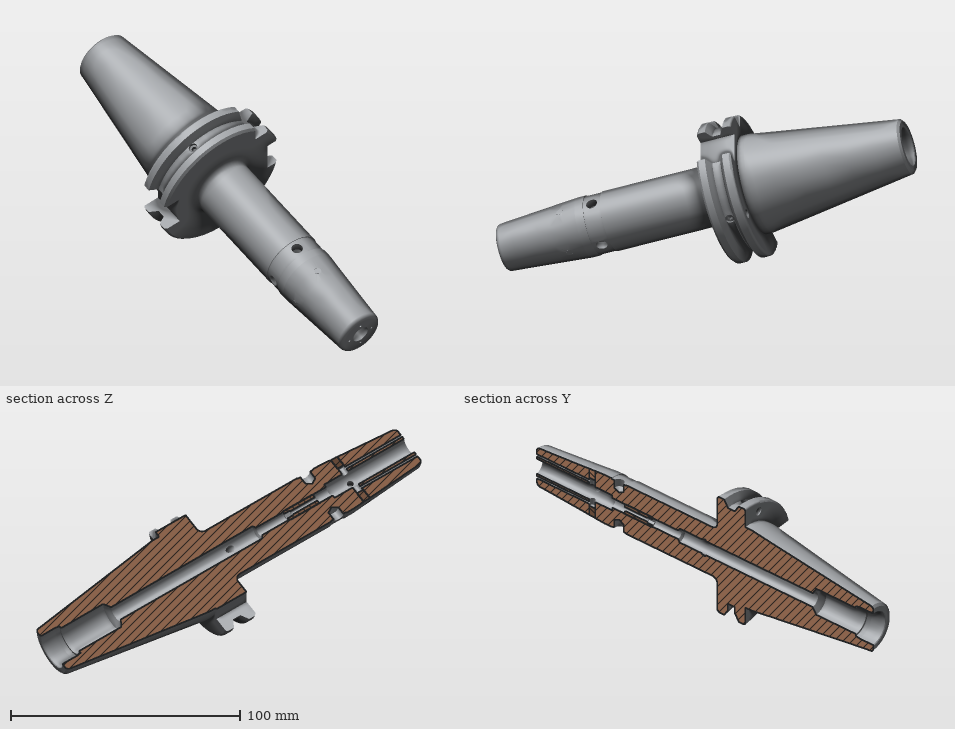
import cadquery as cq
import math


GAUGE_RADIUS = 44.45 / 2
TAPER_LENGTH = 68.4
TAPER_SLOPE = 7 / 48
TAPER_END_CHAMFER = 1.0

FLANGE_START = 3.2
FLANGE_END = 19.1
FLANGE_RADIUS = 63.55 / 2
FLANGE_REAR_FILLET = 1.0
FLANGE_FRONT_CHAMFER = 1.0
GROOVE_CENTER = 11.05
GROOVE_FLOOR_RADIUS = 56.25 / 2
GROOVE_FLOOR_WIDTH = 3.75
GROOVE_FLANK_ANGLE = 30.0
GROOVE_FLAT_ANGLE = 255.4
GROOVE_FLAT_DISTANCE = 23.9
GROOVE_FLAT_START = 9.5
GROOVE_FLAT_END = 12.9

SLOT_WIDTH = 16.1
SLOT_FLOOR_PLUS_Y = 25.0
SLOT_FLOOR_MINUS_Y = 22.8
NOTCH_OFFSET = 18.5

NOSE_END = 120.0
NOSE_TIP_RADIUS = 10.5
NOSE_ANGLE = 4.5
NOSE_TIP_FILLET = 2.0
SHANK_RADIUS = 13.5
SHANK_FILLET = 2.8
RELIEF_START = 70.0
RELIEF_END = 78.0
RELIEF_DEPTH = 0.35

MOUTH_RADIUS = 8.85
MOUTH_CHAMFER = 0.35
MOUTH_DEPTH = 7.8
MOUTH_FLOOR_RADIUS = 8.15
MOUTH_FLOOR_DEPTH = 9.8
THREAD_RADIUS = 7.0
THREAD_DEPTH = 32.0
DRILL_POINT_ANGLE = 118.0
FEED_RADIUS = 3.7
FEED_END = 40.0
NECK_RADIUS = 2.25
STOP_SEAT = 55.0
STOP_RADIUS = 2.5
TOOL_BORE_START = 78.0
TOOL_BORE_RADIUS = 4.0

BALANCE_HOLE_X = 74.0
BALANCE_HOLE_RADIUS = 2.5
BALANCE_HOLE_FLOOR = 9.0

PIN_X = 89.0
PIN_RADIUS = 1.5
PIN_INNER_END = 7.5
JET_PITCH_RADIUS = 6.0
JET_RADIUS = 0.5

PORT_ANGLES = (109.7, 289.7)
PORT_PITCH_RADIUS = 27.0
PORT_RADIUS = 1.5
PORT_RECESS_RADIUS = 2.0
PORT_RECESS_DEPTH = 0.5
PORT_LEAN = 45.0
SCREW_RADIUS = 2.0
SCREW_SINK = 1.5
SCREW_INNER_END = 17.5
SCREW_HEX = 2.0
SCREW_HEX_DEPTH = 2.0

STOP_SCREW_LENGTH = 16.0
STOP_SCREW_HEX = 2.5
STOP_SCREW_HEX_DEPTH = 3.0
STOP_SCREW_BORE_RADIUS = 0.9
STOP_SCREW_CHAMFER = 0.5

QUARTER_ANGLES = (0, 90, 180, 270)

TAPER_START = -TAPER_LENGTH
TAPER_END_RADIUS = GAUGE_RADIUS - TAPER_LENGTH * TAPER_SLOPE
NOSE_SLOPE = math.tan(math.radians(NOSE_ANGLE))
NOSE_START = NOSE_END - (SHANK_RADIUS - NOSE_TIP_RADIUS) / NOSE_SLOPE
PIN_OUTER_END = NOSE_TIP_RADIUS + (NOSE_END - PIN_X) * NOSE_SLOPE
POINT_SLOPE = 1 / math.tan(math.radians(DRILL_POINT_ANGLE / 2))
ORIGIN = (0, 0, 0)
X_AXIS = (1, 0, 0)


def revolved(profile):
    """Turn a closed (x, radius) outline about the X axis."""
    return profile.close().revolve(360, ORIGIN, X_AXIS)


def rod(start, direction, radius, length):
    """A solid cylinder from a point along a direction."""
    return cq.Workplane(cq.Solid.makeCylinder(radius, length, cq.Vector(*start), cq.Vector(*direction)))


def radial_rod(x, inner, outer, radius):
    """A cylinder along +Y between two distances from the axis."""
    return rod((x, inner, 0), (0, 1, 0), radius, outer - inner)


def turned(body, angle):
    """Rotate a body about the X axis, from +Y toward +Z."""
    return body.rotate(ORIGIN, X_AXIS, angle)


def holder_blank():
    chamfer_radius = TAPER_END_RADIUS - TAPER_END_CHAMFER
    profile = (
        cq.Workplane("XY")
        .moveTo(TAPER_START, 0)
        .lineTo(TAPER_START, chamfer_radius)
        .lineTo(TAPER_START + TAPER_END_CHAMFER, TAPER_END_RADIUS + TAPER_END_CHAMFER * TAPER_SLOPE)
        .lineTo(0, GAUGE_RADIUS)
        .lineTo(FLANGE_START, GAUGE_RADIUS)
        .lineTo(FLANGE_START, FLANGE_RADIUS - FLANGE_REAR_FILLET)
        .radiusArc((FLANGE_START + FLANGE_REAR_FILLET, FLANGE_RADIUS), FLANGE_REAR_FILLET)
        .lineTo(FLANGE_END - FLANGE_FRONT_CHAMFER, FLANGE_RADIUS)
        .lineTo(FLANGE_END, FLANGE_RADIUS - FLANGE_FRONT_CHAMFER)
        .lineTo(FLANGE_END, SHANK_RADIUS + SHANK_FILLET)
        .radiusArc((FLANGE_END + SHANK_FILLET, SHANK_RADIUS), -SHANK_FILLET)
        .lineTo(RELIEF_START, SHANK_RADIUS)
        .lineTo(RELIEF_START, SHANK_RADIUS - RELIEF_DEPTH)
        .lineTo(RELIEF_END, SHANK_RADIUS - RELIEF_DEPTH)
        .lineTo(RELIEF_END, SHANK_RADIUS)
        .lineTo(NOSE_START, SHANK_RADIUS)
        .lineTo(NOSE_END, NOSE_TIP_RADIUS)
        .lineTo(NOSE_END, 0)
    )
    return revolved(profile).faces(">X").edges().fillet(NOSE_TIP_FILLET)


def v_groove():
    depth = FLANGE_RADIUS - GROOVE_FLOOR_RADIUS
    half_floor = GROOVE_FLOOR_WIDTH / 2
    half_mouth = half_floor + depth * math.tan(math.radians(GROOVE_FLANK_ANGLE))
    profile = (
        cq.Workplane("XY")
        .moveTo(GROOVE_CENTER - half_floor, GROOVE_FLOOR_RADIUS)
        .lineTo(GROOVE_CENTER + half_floor, GROOVE_FLOOR_RADIUS)
        .lineTo(GROOVE_CENTER + half_mouth, FLANGE_RADIUS)
        .lineTo(GROOVE_CENTER - half_mouth, FLANGE_RADIUS)
    )
    return revolved(profile)


def groove_flat():
    """Clearance that leaves a flat across the groove floor."""
    depth = FLANGE_RADIUS - GROOVE_FLAT_DISTANCE
    width = GROOVE_FLAT_END - GROOVE_FLAT_START
    block = cq.Workplane("XY").box(width, depth, 2 * FLANGE_RADIUS, centered=(False, False, True))
    block = block.translate((GROOVE_FLAT_START, GROOVE_FLAT_DISTANCE, 0))
    return turned(block, GROOVE_FLAT_ANGLE)


def flange_cutter(y_start, y_end, z_start, z_end):
    size = (FLANGE_END - FLANGE_START, y_end - y_start, z_end - z_start)
    return cq.Workplane("XY").box(*size, centered=False).translate((FLANGE_START, y_start, z_start))


def flange_cuts():
    half_slot = SLOT_WIDTH / 2
    plus_slot = flange_cutter(SLOT_FLOOR_PLUS_Y, FLANGE_RADIUS, -half_slot, half_slot)
    minus_slot = flange_cutter(-FLANGE_RADIUS, -SLOT_FLOOR_MINUS_Y, -half_slot, half_slot)
    notch = flange_cutter(NOTCH_OFFSET, FLANGE_RADIUS, NOTCH_OFFSET, FLANGE_RADIUS)
    return [plus_slot, minus_slot, notch]


def center_bore():
    bore_radius = MOUTH_RADIUS - MOUTH_CHAMFER
    thread_end = TAPER_START + THREAD_DEPTH
    profile = (
        cq.Workplane("XY")
        .moveTo(TAPER_START, 0)
        .lineTo(TAPER_START, MOUTH_RADIUS)
        .lineTo(TAPER_START + MOUTH_CHAMFER, bore_radius)
        .lineTo(TAPER_START + MOUTH_DEPTH, bore_radius)
        .lineTo(TAPER_START + MOUTH_FLOOR_DEPTH, MOUTH_FLOOR_RADIUS)
        .lineTo(TAPER_START + MOUTH_FLOOR_DEPTH, THREAD_RADIUS)
        .lineTo(thread_end, THREAD_RADIUS)
        .lineTo(thread_end + (THREAD_RADIUS - FEED_RADIUS) * POINT_SLOPE, FEED_RADIUS)
        .lineTo(FEED_END, FEED_RADIUS)
        .lineTo(FEED_END + (FEED_RADIUS - NECK_RADIUS) * POINT_SLOPE, NECK_RADIUS)
        .lineTo(STOP_SEAT, NECK_RADIUS)
        .lineTo(STOP_SEAT, STOP_RADIUS)
        .lineTo(TOOL_BORE_START, STOP_RADIUS)
        .lineTo(TOOL_BORE_START, TOOL_BORE_RADIUS)
        .lineTo(NOSE_END, TOOL_BORE_RADIUS)
        .lineTo(NOSE_END, 0)
    )
    return revolved(profile)


def balance_hole():
    wall = radial_rod(BALANCE_HOLE_X, BALANCE_HOLE_FLOOR, SHANK_RADIUS, BALANCE_HOLE_RADIUS)
    point = cq.Solid.makeCone(
        BALANCE_HOLE_RADIUS,
        0,
        BALANCE_HOLE_RADIUS * POINT_SLOPE,
        cq.Vector(BALANCE_HOLE_X, BALANCE_HOLE_FLOOR, 0),
        cq.Vector(0, -1, 0),
    )
    return wall.union(cq.Workplane(point))


def jet_passage():
    cross_hole = radial_rod(PIN_X, 0, SHANK_RADIUS, PIN_RADIUS)
    jet = rod((PIN_X, JET_PITCH_RADIUS, 0), X_AXIS, JET_RADIUS, NOSE_END - PIN_X)
    return cross_hole.union(jet)


def coolant_port():
    """A round recess in the rear flange face and a bore from it, leaning in to the axis."""
    lean = math.radians(PORT_LEAN)
    direction = cq.Vector(math.cos(lean), -math.sin(lean), 0)
    entry = cq.Vector(FLANGE_START, PORT_PITCH_RADIUS, 0)
    start = entry - direction * (2 * PORT_RADIUS)
    length = PORT_PITCH_RADIUS / math.sin(lean) + 2 * PORT_RADIUS
    bore = rod(start.toTuple(), direction.toTuple(), PORT_RADIUS, length)
    recess = rod(entry.toTuple(), X_AXIS, PORT_RECESS_RADIUS, PORT_RECESS_DEPTH)
    return bore.union(recess)


def screw_hole():
    return radial_rod(GROOVE_CENTER, SCREW_INNER_END, FLANGE_RADIUS, SCREW_RADIUS)


def make_holder():
    body = holder_blank().cut(v_groove())
    body = body.cut(groove_flat())
    for cutter in flange_cuts():
        body = body.cut(cutter)
    body = body.cut(center_bore())
    for angle in QUARTER_ANGLES:
        body = body.cut(turned(balance_hole(), angle))
        body = body.cut(turned(jet_passage(), angle))
    for angle in PORT_ANGLES:
        body = body.cut(turned(coolant_port(), angle))
        body = body.cut(turned(screw_hole(), angle))
    return body


def hex_key_recess(across_flats, depth):
    """A hexagonal prism standing on the XY plane."""
    corner_diameter = across_flats / math.cos(math.radians(30))
    return cq.Workplane("XY").polygon(6, corner_diameter).extrude(depth)


def make_pin():
    """A plug for one cross hole, its flat end level with the nose at the hole centre."""
    return radial_rod(PIN_X, PIN_INNER_END, PIN_OUTER_END, PIN_RADIUS)


def make_grub_screw():
    """A seal for one coolant port, with its hex recess facing out of the groove."""
    outer_end = GROOVE_FLOOR_RADIUS - SCREW_SINK
    recess = hex_key_recess(SCREW_HEX, SCREW_HEX_DEPTH).rotate(ORIGIN, X_AXIS, 90)
    body = radial_rod(GROOVE_CENTER, SCREW_INNER_END, outer_end, SCREW_RADIUS)
    return body.cut(recess.translate((GROOVE_CENTER, outer_end, 0)))


def make_stop_screw():
    """A hollow length stop with a hex recess at its rear end."""
    recess = hex_key_recess(STOP_SCREW_HEX, STOP_SCREW_HEX_DEPTH).rotate(ORIGIN, (0, 1, 0), 90)
    body = rod((STOP_SEAT, 0, 0), X_AXIS, STOP_RADIUS, STOP_SCREW_LENGTH).faces("<X").chamfer(STOP_SCREW_CHAMFER)
    body = body.cut(recess.translate((STOP_SEAT, 0, 0)))
    return body.cut(rod((STOP_SEAT, 0, 0), X_AXIS, STOP_SCREW_BORE_RADIUS, STOP_SCREW_LENGTH))


holder = make_holder()
stop_screw = make_stop_screw()
pins = [turned(make_pin(), angle) for angle in QUARTER_ANGLES]
grub_screws = [turned(make_grub_screw(), angle) for angle in PORT_ANGLES]

small_bodies = [stop_screw, *pins, *grub_screws]
result = cq.Compound.makeCompound([holder.val(), *[body.val() for body in small_bodies]])